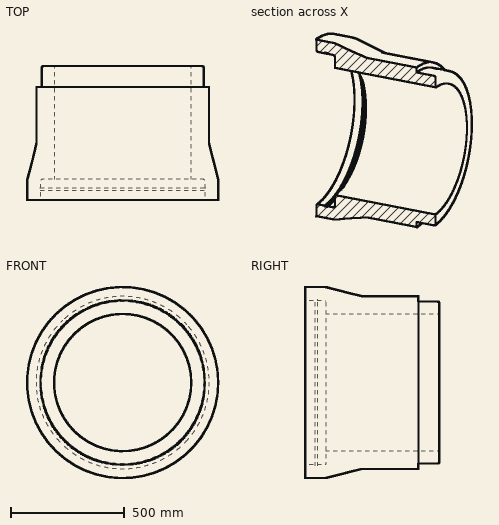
import cadquery as cq

bell_radius = 420.0
body_radius = 380.0
spigot_radius = 356.0

total_length = 590.0
bell_length = 90.0
cone_length = 160.0
spigot_length = 92.0
spigot_edge_radius = 9.0

bore_radius = 301.0
socket_radius = 360.0
socket_depth = 92.0
lip_radius = 11.0
socket_floor_radius = 8.0
groove_depth = 3.0
groove_width = 11.0
groove_start = 44.0

mouth_y = -total_length / 2
end_y = total_length / 2
bell_end_y = mouth_y + bell_length
cone_end_y = bell_end_y + cone_length
shoulder_y = end_y - spigot_length


def revolve_about_y(profile):
    """Turn a closed radius/axial profile a full circle about the Y axis."""
    return profile.close().revolve(360, (0, 0, 0), (0, 1, 0))


def make_body():
    """Solid bell, cone, straight barrel and spigot."""
    profile = (
        cq.Workplane("XY")
        .moveTo(0, mouth_y)
        .lineTo(bell_radius, mouth_y)
        .lineTo(bell_radius, bell_end_y)
        .lineTo(body_radius, cone_end_y)
        .lineTo(body_radius, shoulder_y)
        .lineTo(spigot_radius, shoulder_y)
        .lineTo(spigot_radius, end_y)
        .lineTo(0, end_y)
    )
    return revolve_about_y(profile).faces(">Y").edges().fillet(spigot_edge_radius)


def make_socket():
    """Socket void with a rounded lip, a shallow groove and a rounded floor corner."""
    floor_y = mouth_y + socket_depth
    groove_y = mouth_y + groove_start
    profile = (
        cq.Workplane("XY")
        .moveTo(0, mouth_y)
        .lineTo(socket_radius + lip_radius, mouth_y)
        .radiusArc((socket_radius, mouth_y + lip_radius), lip_radius)
        .lineTo(socket_radius, groove_y)
        .lineTo(socket_radius + groove_depth, groove_y)
        .lineTo(socket_radius + groove_depth, groove_y + groove_width)
        .lineTo(socket_radius, groove_y + groove_width)
        .lineTo(socket_radius, floor_y - socket_floor_radius)
        .radiusArc((socket_radius - socket_floor_radius, floor_y), -socket_floor_radius)
        .lineTo(0, floor_y)
    )
    return revolve_about_y(profile)


def make_bore():
    """Straight bore through the full length."""
    profile = cq.Workplane("XY").moveTo(0, mouth_y).lineTo(bore_radius, mouth_y)
    return revolve_about_y(profile.lineTo(bore_radius, end_y).lineTo(0, end_y))


result = make_body().cut(make_socket()).cut(make_bore())